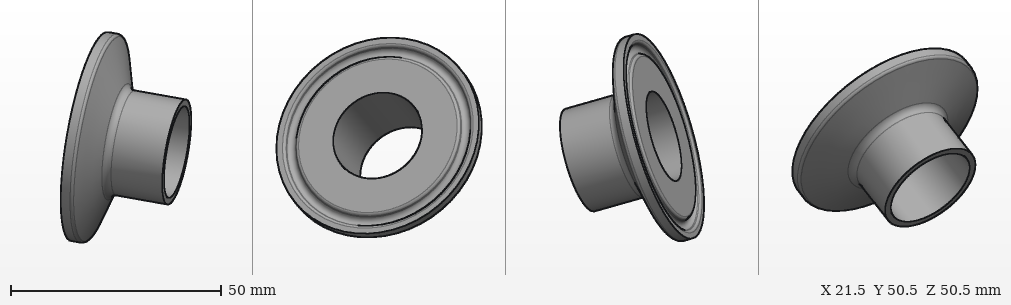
import cadquery as cq
import math

length = 21.5
flange_radius = 25.25
tube_radius = 25.4 / 2
bore_radius = 22.1 / 2

rim_width = 2.25
rim_fillet = 0.8
neck_fillet = 2.0
neck_end = 8.85
back_slope = math.radians(20)

groove_center_radius = 21.75
groove_depth = 1.6
groove_floor_radius = 1.2
groove_lip_fillet = 0.8
groove_wall_draft = math.radians(20)


def arc_point(center, radius, angle):
    """Point on an arc in the (x, radius) plane, angle taken from the +radius axis."""
    return (center[0] + radius * math.sin(angle), center[1] + radius * math.cos(angle))


def ferrule_body():
    back_normal = math.pi / 2 - back_slope
    rim_center = (rim_width, flange_radius - rim_fillet)
    neck_center = (neck_end, tube_radius + neck_fillet)
    profile = (
        cq.Workplane("XY")
        .moveTo(0, bore_radius)
        .lineTo(0, flange_radius)
        .lineTo(rim_width, flange_radius)
        .threePointArc(
            arc_point(rim_center, rim_fillet, back_normal / 2),
            arc_point(rim_center, rim_fillet, back_normal),
        )
        .lineTo(*arc_point(neck_center, -neck_fillet, back_normal))
        .threePointArc(
            arc_point(neck_center, -neck_fillet, back_normal / 2),
            (neck_end, tube_radius),
        )
        .lineTo(length, tube_radius)
        .lineTo(length, bore_radius)
        .close()
    )
    return profile.revolve(360, (0, 0, 0), (1, 0, 0))


def gasket_groove():
    """Ring with a round floor, drafted walls and rounded lips."""
    turn = math.pi / 2 - groove_wall_draft
    floor_center_x = groove_depth - groove_floor_radius

    floor_tangent_x = floor_center_x + groove_floor_radius * math.cos(turn)
    floor_half_width = groove_floor_radius * math.sin(turn)
    lip_tangent_x = groove_lip_fillet * (1 - math.cos(turn))
    lip_half_width = floor_half_width + (floor_tangent_x - lip_tangent_x) / math.tan(turn)
    face_half_width = lip_half_width + groove_lip_fillet * math.sin(turn)

    lip_middle_x = groove_lip_fillet * (1 - math.cos(turn / 2))
    lip_middle_half_width = face_half_width - groove_lip_fillet * math.sin(turn / 2)

    middle = groove_center_radius
    profile = (
        cq.Workplane("XY")
        .moveTo(0, middle - face_half_width)
        .threePointArc(
            (lip_middle_x, middle - lip_middle_half_width),
            (lip_tangent_x, middle - lip_half_width),
        )
        .lineTo(floor_tangent_x, middle - floor_half_width)
        .threePointArc(
            (groove_depth, middle),
            (floor_tangent_x, middle + floor_half_width),
        )
        .lineTo(lip_tangent_x, middle + lip_half_width)
        .threePointArc(
            (lip_middle_x, middle + lip_middle_half_width),
            (0, middle + face_half_width),
        )
        .close()
    )
    return profile.revolve(360, (0, 0, 0), (1, 0, 0))


result = ferrule_body().cut(gasket_groove())